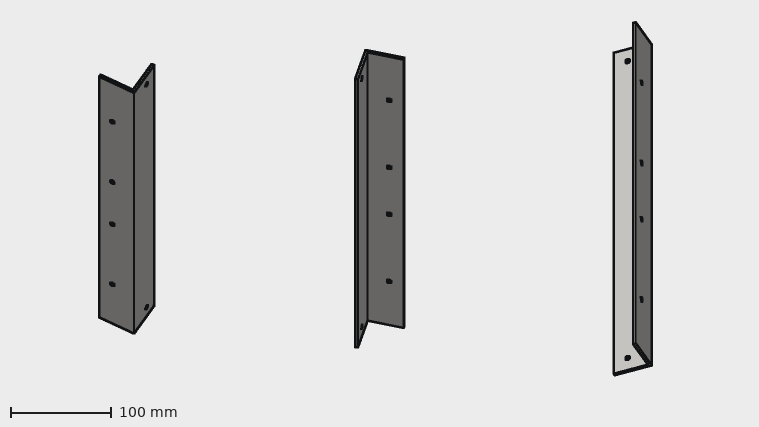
import cadquery as cq

length = 400.0
leg_width = 40.0
thickness = 3.0
hole_diameter = 5.0
inner_face_to_hole = 22.0
side_hole_gap = 370.0
inner_hole_gap = 70.0
outer_hole_gap = 100.0

edge_to_hole = leg_width - thickness - inner_face_to_hole

middle = length / 2
inner_offset = inner_hole_gap / 2
outer_offset = inner_offset + outer_hole_gap
front_offsets = [-outer_offset, -inner_offset, inner_offset, outer_offset]
side_offset = side_hole_gap / 2
side_offsets = [-side_offset, side_offset]


def hole_cutter(start, direction):
    """Cylinder that passes through one leg, starting on its outer face."""
    return cq.Workplane(
        cq.Solid.makeCylinder(hole_diameter / 2, thickness, cq.Vector(*start), cq.Vector(*direction))
    )


front_leg = cq.Workplane().box(leg_width, thickness, length, centered=False)
side_leg = (
    cq.Workplane()
    .box(thickness, leg_width, length, centered=False)
    .translate((leg_width - thickness, 0, 0))
)
result = front_leg.union(side_leg)

for offset in front_offsets:
    result = result.cut(hole_cutter((edge_to_hole, 0, middle + offset), (0, 1, 0)))

for offset in side_offsets:
    start = (leg_width, leg_width - edge_to_hole, middle + offset)
    result = result.cut(hole_cutter(start, (-1, 0, 0)))